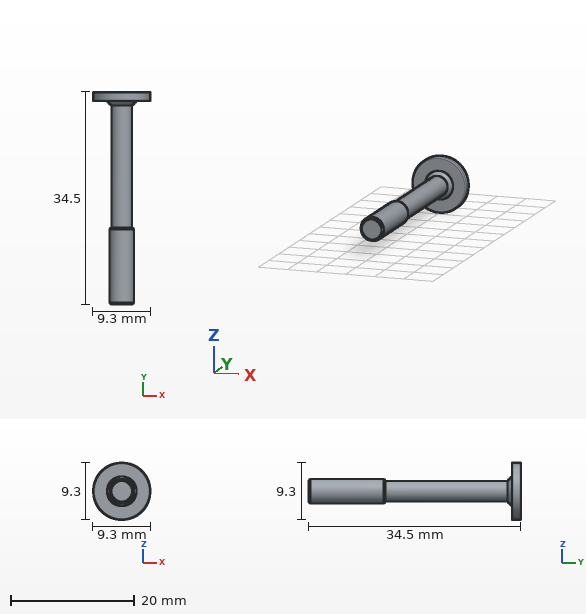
import cadquery as cq

head_diameter = 9.3
head_thickness = 1.5
head_edge_radius = 0.2
length_under_head = 33.0
shank_diameter = 3.4
neck_cone_height = 0.7
end_diameter = 4.0
end_section_length = 12.5

head_radius = head_diameter / 2
shank_radius = shank_diameter / 2
end_radius = end_diameter / 2
end_chamfer = end_radius - shank_radius
neck_radius = shank_radius + neck_cone_height

tip_y = -length_under_head
end_section_top_y = tip_y + end_section_length


def revolve_about_y(half_profile):
    """Turn a closed outline of (y, radius) points fully around the Y axis."""
    full_turn = 360
    outline = cq.Workplane("YZ").polyline(half_profile).close()
    return outline.revolve(full_turn, (0, 0), (1, 0))


def make_head():
    """Disc-shaped head with both rims rounded."""
    disc = revolve_about_y(
        [
            (0, 0),
            (0, head_radius),
            (head_thickness, head_radius),
            (head_thickness, 0),
        ]
    )
    return disc.faces("<Y or >Y").edges().fillet(head_edge_radius)


def make_stem():
    """Shank with a conical neck at the head and a thicker section at the tip."""
    return revolve_about_y(
        [
            (tip_y, 0),
            (tip_y, end_radius - end_chamfer),
            (tip_y + end_chamfer, end_radius),
            (end_section_top_y - end_chamfer, end_radius),
            (end_section_top_y, shank_radius),
            (-neck_cone_height, shank_radius),
            (0, neck_radius),
            (0, 0),
        ]
    )


result = make_head().union(make_stem())